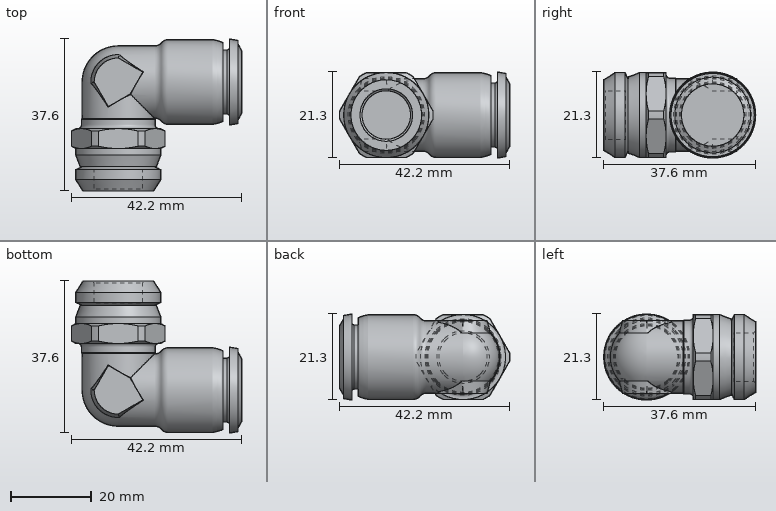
import cadquery as cq
import math


overall_depth = 37.65
collar_diameter = 21.3

elbow_radius = 9.0

pad_half_height = 9.05
pad_corner_radius = 5.95
pad_side_angle = 30
pad_inner_reach = 2.95
pad_side_length = 6.25
pad_draft = 15
pad_depth = 4.2

step_start = 9.05
step_end = 9.25
shoulder_radius = 9.15
hex_start = 11.5
hex_end = 16.45
shoulder_fillet = 0.93
hex_across_flats = 21.0
hex_corner_radius = 11.6
hex_chamfer = 0.6
thread_radius = 10.55
upper_cone_start = 18.05
groove_start = 20.95
groove_end = 21.7
upper_cone_end_radius = 9.45
groove_radius = 9.0
lower_cone_start = 24.15
stem_length = overall_depth - collar_diameter / 2
stem_end_radius = 8.75

bore_radius = 6.0
bore_mouth_radius = 6.5
bore_mouth_depth = 0.5
bore_depth = 5.4

socket_radius = 10.5
blend_start = 9.1
blend_radius = 2.0
blend_angle = math.radians(45)
taper_start = 23.4
taper_break = 24.5
taper_break_radius = 10.25
taper_end = 25.57
taper_end_radius = 9.9
socket_end = 25.95
socket_end_radius = 9.65

sleeve_radius = 7.95
sleeve_end = 26.92
flare_radius = 8.25
collar_start = 27.47
collar_radius = collar_diameter / 2
collar_rim_end = 27.98
collar_rim_radius = 10.6
collar_face = 29.62
collar_face_radius = 10.3
nose_radius = 9.35
collar_end = 30.6
nose_end_radius = 7.72


def along_x(profile):
    """Revolve a closed profile of (x, radius) around the X axis."""
    return profile.close().revolve(360, (0, 0, 0), (1, 0, 0))


def along_stem(profile):
    """Revolve a closed profile around X, then turn it to run along -Y."""
    return along_x(profile).rotate((0, 0, 0), (0, 0, 1), -90)


def make_stem():
    fillet_start = hex_start - shoulder_fillet
    fillet_sagitta = shoulder_fillet * (1 - math.cos(math.pi / 4))
    profile = (
        cq.Workplane("XY")
        .lineTo(0, elbow_radius)
        .lineTo(step_start, elbow_radius)
        .lineTo(step_end, shoulder_radius)
        .lineTo(fillet_start, shoulder_radius)
        .threePointArc(
            (hex_start - fillet_sagitta, shoulder_radius + fillet_sagitta),
            (hex_start, shoulder_radius + shoulder_fillet),
        )
        .lineTo(hex_end, shoulder_radius + shoulder_fillet)
        .lineTo(hex_end, thread_radius)
        .lineTo(upper_cone_start, thread_radius)
        .lineTo(groove_start, upper_cone_end_radius)
        .lineTo(groove_start, groove_radius)
        .lineTo(groove_end, thread_radius)
        .lineTo(lower_cone_start, thread_radius)
        .lineTo(stem_length, stem_end_radius)
        .lineTo(stem_length, 0)
    )
    return along_stem(profile)


def make_hex():
    corner_diameter = hex_across_flats / math.cos(math.pi / 6)
    prism = (
        cq.Workplane("XZ", origin=(0, -hex_start, 0))
        .polygon(6, corner_diameter)
        .extrude(hex_end - hex_start)
    )
    envelope = along_stem(
        cq.Workplane("XY")
        .moveTo(hex_start, 0)
        .lineTo(hex_start, hex_across_flats / 2)
        .lineTo(hex_start + hex_chamfer, hex_corner_radius)
        .lineTo(hex_end - hex_chamfer, hex_corner_radius)
        .lineTo(hex_end, hex_across_flats / 2)
        .lineTo(hex_end, 0)
    )
    return prism.intersect(envelope)


def make_bore():
    return along_stem(
        cq.Workplane("XY")
        .moveTo(stem_length, 0)
        .lineTo(stem_length, bore_mouth_radius)
        .lineTo(stem_length - bore_mouth_depth, bore_radius)
        .lineTo(stem_length - bore_depth, bore_radius)
        .lineTo(stem_length - bore_depth, 0)
    )


def make_socket():
    mid_x = blend_radius * math.sin(blend_angle / 2)
    mid_r = blend_radius * (1 - math.cos(blend_angle / 2))
    arc_x = blend_radius * math.sin(blend_angle)
    arc_r = blend_radius * (1 - math.cos(blend_angle))
    flank_length = (socket_radius - elbow_radius - 2 * arc_r) / math.tan(blend_angle)
    blend_end = blend_start + 2 * arc_x + flank_length
    return along_x(
        cq.Workplane("XY")
        .lineTo(0, elbow_radius)
        .lineTo(blend_start, elbow_radius)
        .threePointArc(
            (blend_start + mid_x, elbow_radius + mid_r),
            (blend_start + arc_x, elbow_radius + arc_r),
        )
        .lineTo(blend_end - arc_x, socket_radius - arc_r)
        .threePointArc(
            (blend_end - mid_x, socket_radius - mid_r),
            (blend_end, socket_radius),
        )
        .lineTo(taper_start, socket_radius)
        .lineTo(taper_break, taper_break_radius)
        .lineTo(taper_end, taper_end_radius)
        .lineTo(socket_end, socket_end_radius)
        .lineTo(socket_end, sleeve_radius)
        .lineTo(sleeve_end, sleeve_radius)
        .lineTo(collar_start, flare_radius)
        .lineTo(collar_start, collar_radius)
        .lineTo(collar_rim_end, collar_rim_radius)
        .lineTo(collar_face, collar_face_radius)
        .lineTo(collar_face, nose_radius)
        .lineTo(collar_end, nose_end_radius)
        .lineTo(collar_end, 0)
    )


def make_pad():
    """Upper pad, symmetric about the elbow's diagonal and widening with draft below its top."""
    slope = math.radians(pad_side_angle)
    side_x = pad_inner_reach + pad_side_length * math.sin(slope)
    side_y = -pad_inner_reach + pad_side_length * math.cos(slope)
    arc_mid = pad_corner_radius * math.cos(math.pi / 4)
    return (
        cq.Workplane("XY", origin=(0, 0, pad_half_height))
        .moveTo(0, pad_corner_radius)
        .lineTo(side_x, side_y)
        .lineTo(pad_inner_reach, -pad_inner_reach)
        .lineTo(-side_y, -side_x)
        .lineTo(-pad_corner_radius, 0)
        .threePointArc((-arc_mid, arc_mid), (0, pad_corner_radius))
        .close()
        .extrude(-pad_depth, taper=-pad_draft)
    )


pad = make_pad()
result = (
    cq.Workplane("XY")
    .sphere(elbow_radius)
    .union(make_socket())
    .union(make_stem())
    .union(make_hex())
    .union(pad)
    .union(pad.mirror("XY"))
    .cut(make_bore())
)